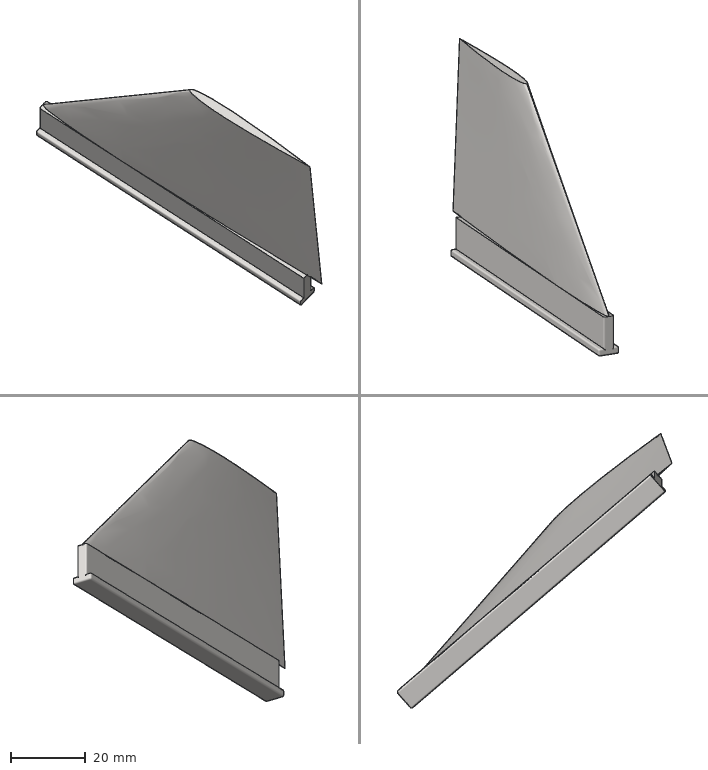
import cadquery as cq
import math

root_chord = 95.0
total_height = 61.0

rail_length = 90.1
flange_width = 6.0
flange_height = 2.0
stem_width = 3.0
rail_height = 10.9
edge_radius = 0.5

root_thickness = 3.0
tip_leading_x = 50.1
tip_chord = 40.9
tip_thickness = 2.9
side_point_count = 16

NACA_TERMS = ((0.2969, 0.5), (-0.1260, 1), (-0.3516, 2), (0.2843, 3), (-0.1036, 4))
NACA_SCALE = 5.0


def half_thickness(station, thickness):
    """Half thickness of the airfoil at a fraction of its chord."""
    return NACA_SCALE * thickness * sum(factor * station**power for factor, power in NACA_TERMS)


def airfoil_side(side, leading_x, chord, thickness):
    """Points along one side (+1 or -1) from the leading edge to the sharp trailing edge."""
    points = []
    for i in range(side_point_count + 1):
        station = (1 - math.cos(math.pi * i / side_point_count)) / 2
        points.append((leading_x + chord * station, side * half_thickness(station, thickness)))
    return points


def airfoil_wire(height, leading_x, chord, thickness):
    """Symmetric airfoil with a round nose and sharp trailing edge, at the given height."""
    upper = airfoil_side(1, leading_x, chord, thickness)
    lower = airfoil_side(-1, leading_x, chord, thickness)
    lower[0] = upper[0]
    lower[-1] = upper[-1]
    section = (
        cq.Workplane("XY", origin=(0, 0, height))
        .moveTo(*upper[-1])
        .spline(upper[::-1][1:], includeCurrent=True)
        .spline(lower[1:], includeCurrent=True)
    )
    return cq.Wire.assembleEdges(section.ctx.pendingEdges)


def make_rail():
    """Inverted T rail with rounded flange edges and a rounded front end."""
    flange = (
        cq.Workplane("XY")
        .box(rail_length, flange_width, flange_height, centered=(False, True, False))
        .edges("|X")
        .fillet(edge_radius)
    )
    stem = cq.Workplane("XY").box(rail_length, stem_width, rail_height, centered=(False, True, False))
    rail = flange.union(stem)
    front_edges = rail.faces("<X").edges("not(>Z)")
    return rail.newObject(front_edges.vals()).fillet(edge_radius)


def make_blade():
    """Straight-sided loft between the root and tip airfoils."""
    root = airfoil_wire(rail_height, 0, root_chord, root_thickness)
    tip = airfoil_wire(total_height, tip_leading_x, tip_chord, tip_thickness)
    return cq.Workplane(cq.Solid.makeLoft([root, tip], True))


result = make_rail().union(make_blade())